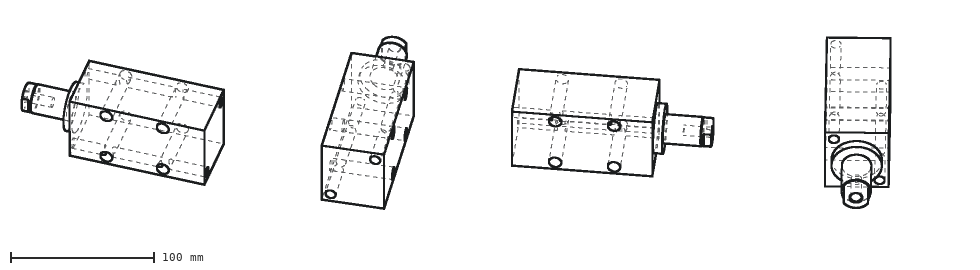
import cadquery as cq


body_length = 98.425
body_width = 44.45
body_height = 50.8

cross_hole_diameter = 8.73
cross_hole_first_x = 26.8
cross_hole_pitch_x = 41.275
hole_pitch_z = 38.1

end_hole_diameter = 7.14
end_hole_pitch_y = 31.75

boss_diameter = 35.1
boss_length = 6.1

overall_length = 137.92
rod_reach = overall_length - body_length
rod_diameter = 20.6
tip_diameter = 20.2
tip_length = 6.7
tip_fillet = 0.9
taper_length = 0.6

flats_width = 17.0
flats_length = 4.7

rod_hole_diameter = 7.1
rod_hole_depth = 20.0
mouth_diameter = 8.9
mouth_depth = 0.6
lead_in_diameter = 7.9
lead_in_depth = 2.1


def rod_cylinder(diameter, start_x, end_x):
    """Cylinder on the rod axis between two X positions."""
    return cq.Workplane("YZ", origin=(start_x, 0, 0)).circle(diameter / 2).extrude(end_x - start_x)


def rod_cone(start_diameter, end_diameter, start_x, end_x):
    """Cone frustum on the rod axis between two X positions."""
    cone = cq.Solid.makeCone(
        start_diameter / 2, end_diameter / 2, end_x - start_x, cq.Vector(start_x, 0, 0), cq.Vector(1, 0, 0)
    )
    return cq.Workplane(cone)


def make_body():
    body = cq.Workplane("XY").box(body_length, body_width, body_height, centered=(False, True, True))
    cross_holes = [
        (cross_hole_first_x + column * cross_hole_pitch_x, side * hole_pitch_z / 2)
        for column in range(2)
        for side in (-1, 1)
    ]
    cross_cutter = (
        cq.Workplane("XZ")
        .pushPoints(cross_holes)
        .circle(cross_hole_diameter / 2)
        .extrude(body_width, both=True)
    )
    end_holes = [(side * end_hole_pitch_y / 2, side * hole_pitch_z / 2) for side in (-1, 1)]
    end_cutter = (
        cq.Workplane("YZ")
        .pushPoints(end_holes)
        .circle(end_hole_diameter / 2)
        .extrude(body_length)
    )
    return body.cut(cross_cutter).cut(end_cutter)


def make_flat_cutter(side):
    """Prism that removes one flat and its 45 degree run-out, on the side (-1 or 1) of Y."""
    flat_y = flats_width / 2
    clear_y = rod_diameter
    flat_end_x = flats_length - rod_reach
    runout_end_x = flat_end_x + clear_y - flat_y
    outline = [
        (-rod_reach, side * flat_y),
        (flat_end_x, side * flat_y),
        (runout_end_x, side * clear_y),
        (-rod_reach, side * clear_y),
    ]
    return cq.Workplane("XY").polyline(outline).close().extrude(rod_diameter, both=True)


def make_rod():
    tip_end_x = tip_length - rod_reach
    shank_start_x = tip_end_x + taper_length
    tip = rod_cylinder(tip_diameter, -rod_reach, tip_end_x)
    tip = tip.faces("<X").edges().fillet(tip_fillet)
    taper = rod_cone(tip_diameter, rod_diameter, tip_end_x, shank_start_x)
    shank = rod_cylinder(rod_diameter, shank_start_x, 0)
    rod = tip.union(taper).union(shank)
    for side in (-1, 1):
        rod = rod.cut(make_flat_cutter(side))
    return rod


def make_rod_hole_cutter():
    mouth_end_x = mouth_depth - rod_reach
    lead_in_end_x = lead_in_depth - rod_reach
    mouth = rod_cone(mouth_diameter, lead_in_diameter, -rod_reach, mouth_end_x)
    lead_in = rod_cone(lead_in_diameter, rod_hole_diameter, mouth_end_x, lead_in_end_x)
    bore = rod_cylinder(rod_hole_diameter, lead_in_end_x, rod_hole_depth - rod_reach)
    return mouth.union(lead_in).union(bore)


boss = rod_cylinder(boss_diameter, -boss_length, 0)
result = make_body().union(boss).union(make_rod().cut(make_rod_hole_cutter()))